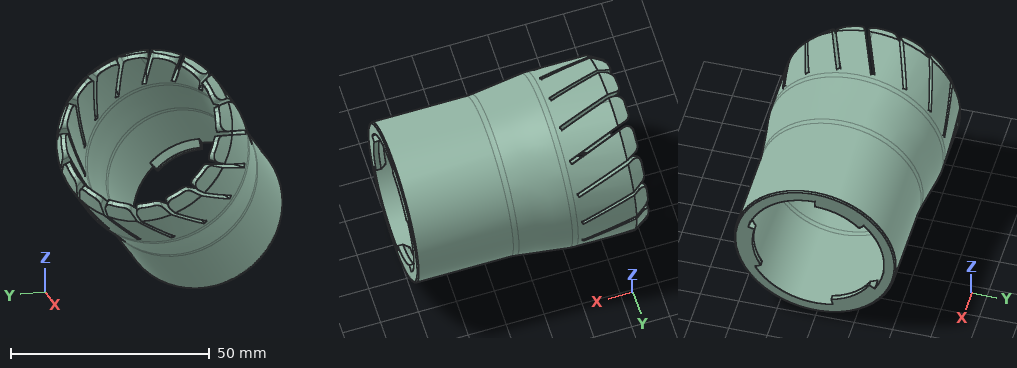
import cadquery as cq
import math

length = 61.0
head_radius = 45.8 / 2
head_bore_radius = 39.0 / 2
neck_radius = 42.0 / 2
neck_bore_radius = 36.0 / 2
taper_start = 20.0
taper_end = 35.1
taper_blend_length = 0.75
tip_chamfer_length = 3.8
tip_chamfer_angle = 30.0
end_chamfer = 0.35

slot_count = 16
slot_width = 1.0
slot_angle = 20.0
slot_end_x = 17.9
slot_axis_x = 7.5
finger_corner_radius = 1.7

tab_count = 3
tab_first_angle = 45.0
tab_span = 45.0
tab_inner_radius = 16.3
tab_length = 3.05
tab_root_depth = 0.6

clearance = 1.2


def tapered_solid(front_radius, back_radius):
    """Solid of revolution about X: two cylinders joined by a cone with blended bends."""
    taper_angle = math.atan2(front_radius - back_radius, taper_end - taper_start)
    blend_x = taper_blend_length * math.cos(taper_angle)
    blend_drop = taper_blend_length * math.sin(taper_angle)
    return (
        cq.Workplane("XZ")
        .lineTo(0, front_radius)
        .lineTo(taper_start - taper_blend_length, front_radius)
        .tangentArcPoint((taper_start + blend_x, front_radius - blend_drop), relative=False)
        .lineTo(taper_end - blend_x, back_radius + blend_drop)
        .tangentArcPoint((taper_end + taper_blend_length, back_radius), relative=False)
        .lineTo(length, back_radius)
        .lineTo(length, 0)
        .close()
        .revolve(360, (0, 0, 0), (1, 0, 0))
    )


def sleeve():
    outside = tapered_solid(head_radius, neck_radius)
    tip_chamfer_depth = tip_chamfer_length * math.tan(math.radians(tip_chamfer_angle))
    tip_edge_radius = head_radius - tip_chamfer_depth
    tip_cone = (
        cq.Workplane("XZ")
        .moveTo(0, tip_edge_radius)
        .lineTo(tip_chamfer_length, head_radius)
        .lineTo(0, head_radius)
        .close()
        .revolve(360, (0, 0, 0), (1, 0, 0))
    )
    outside = outside.cut(tip_cone)
    outside = outside.faces(">X").chamfer(end_chamfer)
    return outside.cut(tapered_solid(head_bore_radius, neck_bore_radius))


def slot_cutter():
    """Slot through the -Y wall, with a mouth that rounds the two finger corners beside it."""
    angle = math.radians(slot_angle)
    along_x, along_z = math.cos(angle), math.sin(angle)
    wall_offset = slot_width / 2 / along_x
    wall_foot = -slot_axis_x * math.tan(angle)
    upper_foot = wall_foot + wall_offset
    lower_foot = wall_foot - wall_offset

    sharp_setback = finger_corner_radius / math.tan((math.pi / 2 - angle) / 2)
    blunt_setback = finger_corner_radius / math.tan((math.pi / 2 + angle) / 2)

    end_z = (slot_end_x - slot_axis_x) * math.tan(angle)
    half_end_x = slot_width / 2 * along_z
    half_end_z = slot_width / 2 * along_x
    return (
        cq.Workplane("XZ")
        .moveTo(slot_end_x + half_end_x, end_z - half_end_z)
        .lineTo(blunt_setback * along_x, lower_foot + blunt_setback * along_z)
        .radiusArc((0, lower_foot - blunt_setback), -finger_corner_radius)
        .lineTo(-clearance, lower_foot - blunt_setback)
        .lineTo(-clearance, upper_foot + sharp_setback)
        .lineTo(0, upper_foot + sharp_setback)
        .radiusArc((sharp_setback * along_x, upper_foot + sharp_setback * along_z), -finger_corner_radius)
        .lineTo(slot_end_x - half_end_x, end_z + half_end_z)
        .close()
        .extrude(head_radius + clearance)
    )


def tab():
    """Ring segment on the bore at the plain end, with a 45 degree lead-in."""
    root_radius = neck_bore_radius + tab_root_depth
    front_x = length - tab_length
    ramp_length = neck_bore_radius - tab_inner_radius
    return (
        cq.Workplane("XY")
        .moveTo(length, tab_inner_radius)
        .lineTo(length, root_radius)
        .lineTo(front_x, root_radius)
        .lineTo(front_x, neck_bore_radius)
        .lineTo(front_x + ramp_length, tab_inner_radius)
        .close()
        .revolve(tab_span, (0, 0, 0), (1, 0, 0))
    )


result = sleeve()
for i in range(slot_count):
    result = result.cut(slot_cutter().rotate((0, 0, 0), (1, 0, 0), i * 360 / slot_count))
for i in range(tab_count):
    result = result.union(tab().rotate((0, 0, 0), (1, 0, 0), tab_first_angle + i * 360 / tab_count))